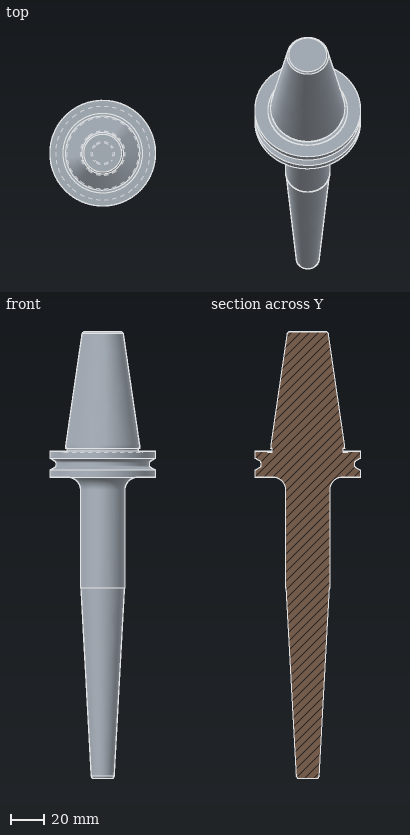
import cadquery as cq
import math

total_length = 268.5
taper_length = 68.5
gauge_z = total_length - taper_length
gauge_band_height = 1.5
flange_gap = 3.2
flange_height = 15.8
flange_top_z = gauge_z - flange_gap
flange_bottom_z = flange_top_z - flange_height
cone_top_z = 114.5

taper_ratio = 7 / 24
gauge_radius = 44.5 / 2
taper_end_radius = gauge_radius - taper_length * taper_ratio / 2
taper_end_chamfer = 1.0
relief_radius = 21.5
recess_radius = 24.0
recess_depth = 0.8
recess_floor_z = flange_top_z - recess_depth

flange_radius = 63.5 / 2
groove_root_radius = 28.2
groove_root_width = 3.0
groove_centre_z = flange_top_z - flange_height / 2
groove_root_fillet = 1.0
groove_wall_angle = 30

shank_radius = 13.5
shank_fillet = 7.5
cone_top_radius = 13.2
tip_radius = 7.0
tip_chamfer_width = 0.8
tip_chamfer_height = 1.5


def make_shank():
    fillet_start_z = flange_bottom_z - shank_fillet
    fillet_outer_radius = shank_radius + shank_fillet
    diagonal = shank_fillet * math.sqrt(0.5)
    fillet_middle = (fillet_outer_radius - diagonal, fillet_start_z + diagonal)
    return (
        cq.Workplane("XZ")
        .lineTo(tip_radius - tip_chamfer_width, 0)
        .lineTo(tip_radius, tip_chamfer_height)
        .lineTo(cone_top_radius, cone_top_z)
        .lineTo(shank_radius, cone_top_z)
        .lineTo(shank_radius, fillet_start_z)
        .threePointArc(fillet_middle, (fillet_outer_radius, flange_bottom_z))
        .lineTo(0, flange_bottom_z)
        .close()
        .revolve(360, (0, 0), (0, 1))
    )


def make_flange():
    wall_rise = (flange_radius - groove_root_radius) * math.tan(math.radians(groove_wall_angle))
    root_half = groove_root_width / 2
    mouth_half = root_half + wall_rise
    flange = (
        cq.Workplane("XZ")
        .moveTo(0, flange_bottom_z)
        .lineTo(flange_radius, flange_bottom_z)
        .lineTo(flange_radius, groove_centre_z - mouth_half)
        .lineTo(groove_root_radius, groove_centre_z - root_half)
        .lineTo(groove_root_radius, groove_centre_z + root_half)
        .lineTo(flange_radius, groove_centre_z + mouth_half)
        .lineTo(flange_radius, flange_top_z)
        .lineTo(recess_radius, flange_top_z)
        .lineTo(recess_radius, recess_floor_z)
        .lineTo(0, recess_floor_z)
        .close()
        .revolve(360, (0, 0), (0, 1))
    )
    root_corners = cq.selectors.RadiusNthSelector(1)
    return flange.edges(root_corners).fillet(groove_root_fillet)


def make_taper():
    band_bottom_z = gauge_z - gauge_band_height
    chamfer_base_radius = taper_end_radius + taper_end_chamfer * taper_ratio / 2
    return (
        cq.Workplane("XZ")
        .moveTo(0, recess_floor_z)
        .lineTo(relief_radius, recess_floor_z)
        .lineTo(relief_radius, band_bottom_z)
        .lineTo(gauge_radius, band_bottom_z)
        .lineTo(gauge_radius, gauge_z)
        .lineTo(chamfer_base_radius, total_length - taper_end_chamfer)
        .lineTo(chamfer_base_radius - taper_end_chamfer, total_length)
        .lineTo(0, total_length)
        .close()
        .revolve(360, (0, 0), (0, 1))
    )


result = make_shank().union(make_flange()).union(make_taper())